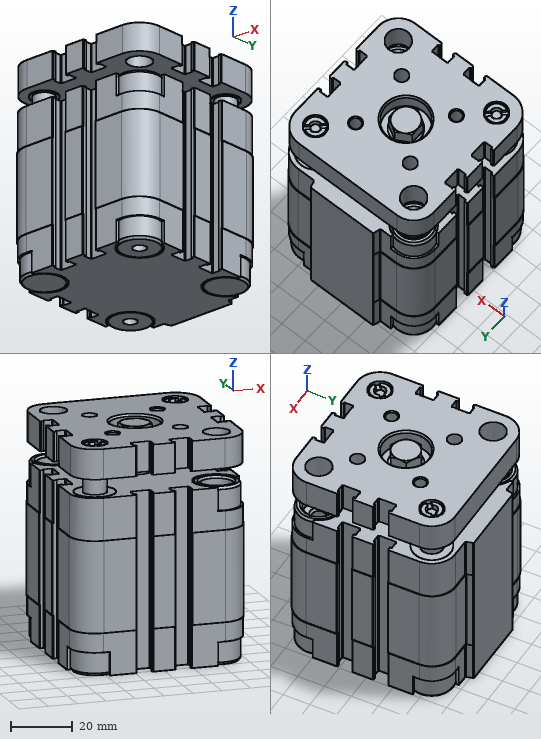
import cadquery as cq
import math

body_width = 60.0
total_depth = 62.5
total_height = 77.0

plate_bottom = 66.75
housing_top = 60.45
upper_seam = 46.0
lower_seam = 14.6
rod_bottom = lower_seam

barrel_half = body_width / 2
cap_inset = 0.2
cap_half = barrel_half - cap_inset
plate_inset = 0.42
plate_half = barrel_half - plate_inset
corner_offset = 21.0

slot_offset = 6.7
slot_mouth_half = 2.7
slot_inner_half = 3.4
slot_lip_level = 28.3
slot_floor_level = 25.0
slot_bevel = 0.3

rail_level = total_depth - barrel_half
rail_top_half = 13.5
rail_base_half = 14.1
rail_bevel = 0.3

collar_diameter = 16.0
collar_height = 8.0
collar_bevel_height = 0.9
collar_bevel_width = 0.7
corner_cut_start = 18.6
corner_cut_clearance = 0.8

screw_bore = 11.0
screw_bore_depth = 4.55
screw_bore_bevel = 0.8
seat_diameter = 6.3
seat_height = 1.0
screw_hole = 4.9

bush_diameter = 14.0
bush_step = 0.1

guide_diameter = 8.0
guide_collar_diameter = 10.1
guide_collar_height = 0.3
guide_hole_diameter = 8.4
guide_pocket_depth = 2.3
guide_end_depth = 0.4
guide_end_bevel = 0.4
driver_slot_width = 1.7
driver_slot_depth = 1.15
driver_slot_angle = 45
center_hole_diameter = 4.15
center_hole_floor = 3.2
center_hole_depth = 1.3

piston_rod_diameter = 12.0
flat_spacing = 10.0
flat_bottom = 62.3

recess_diameter = 17.0
recess_depth = 6.0
recess_bevel_width = 0.55
recess_bevel_height = 0.8
hex_width = 10.0
hex_top_depth = 0.5
hex_bevel_height = 0.5
washer_height = 0.15

access_hole = 9.0
plate_hole_offset = 11.7
dowel_hole = 5.0
thread_hole = 4.15

SCREW_CORNERS = [(-corner_offset, corner_offset), (corner_offset, -corner_offset)]
GUIDE_CORNERS = [(-corner_offset, -corner_offset), (corner_offset, corner_offset)]


def cylinder(x, y, diameter, bottom, top):
    base = cq.Workplane("XY").workplane(offset=bottom).center(x, y)
    return base.circle(diameter / 2).extrude(top - bottom)


def cone(x, y, bottom_diameter, top_diameter, bottom, top):
    solid = cq.Solid.makeCone(bottom_diameter / 2, top_diameter / 2, top - bottom, cq.Vector(x, y, bottom))
    return cq.Workplane(obj=solid)


def square_block(half, bottom, top):
    """Square block whose rounded corners are centred on the corner axes."""
    block = cq.Workplane("XY").workplane(offset=bottom).rect(2 * half, 2 * half).extrude(top - bottom)
    return block.edges("|Z").fillet(half - corner_offset)


def slot_pair(half, bottom, top):
    """Two T-slots opening through the -Y side of a block of the given half width."""
    right_side = [
        (slot_mouth_half + slot_bevel, -half),
        (slot_mouth_half, -half + slot_bevel),
        (slot_mouth_half, -slot_lip_level),
        (slot_inner_half, -slot_lip_level),
        (slot_inner_half, -slot_floor_level - slot_bevel),
        (slot_inner_half - slot_bevel, -slot_floor_level),
    ]
    left_side = [(-x, y) for x, y in reversed(right_side)]
    outline = cq.Workplane("XY").workplane(offset=bottom).polyline(right_side + left_side).close()
    slot = outline.extrude(top - bottom)
    return slot.translate((slot_offset, 0, 0)).union(slot.translate((-slot_offset, 0, 0)))


def slotted_block(half, bottom, top):
    """Square block with T-slots on the -X, -Y and +X sides."""
    block = square_block(half, bottom, top)
    slots = slot_pair(half, bottom, top)
    for angle in (-90, 0, 90):
        block = block.cut(slots.rotate((0, 0, 0), (0, 0, 1), angle))
    return block


def rail(half, bottom, top):
    """Tapered rail on the +Y side, flared at its foot on a block of the given half width."""
    right_side = [
        (rail_base_half + rail_bevel, slot_floor_level),
        (rail_base_half + rail_bevel, half),
        (rail_base_half, half + rail_bevel),
        (rail_top_half, rail_level - rail_bevel),
        (rail_top_half - rail_bevel, rail_level),
    ]
    left_side = [(-x, y) for x, y in reversed(right_side)]
    outline = cq.Workplane("XY").workplane(offset=bottom).polyline(right_side + left_side).close()
    return outline.extrude(top - bottom)


def housing_section(half, bottom, top):
    return slotted_block(half, bottom, top).union(rail(half, bottom, top))


def collar_cut(x, y, end, inward):
    """Cut that frees a corner collar; `inward` is +1 from the bottom end, -1 from the top end."""
    size = barrel_half + corner_cut_clearance - corner_cut_start
    middle = corner_cut_start + size / 2
    box = cq.Workplane("XY").box(size, size, collar_height, centered=(True, True, False))
    box = box.translate((math.copysign(middle, x), math.copysign(middle, y), 0))
    box = box.cut(cylinder(x, y, collar_diameter, 0, collar_height))
    end_diameter = collar_diameter - 2 * collar_bevel_width
    bevel = cylinder(x, y, collar_diameter, 0, collar_bevel_height)
    bevel = bevel.cut(cone(x, y, end_diameter, collar_diameter, 0, collar_bevel_height))
    cut = box.union(bevel)
    if inward < 0:
        cut = cut.mirror("XY")
    return cut.translate((0, 0, end))


def screw_hole_cut(x, y):
    """Through hole with a conical seat and a counterbore that is bevelled at its mouth."""
    floor = housing_top - screw_bore_depth
    cut = cylinder(x, y, screw_hole, 0, housing_top)
    cut = cut.union(cone(x, y, screw_hole, seat_diameter, floor - seat_height, floor))
    cut = cut.union(cylinder(x, y, screw_bore, floor, housing_top))
    mouth = screw_bore + 2 * screw_bore_bevel
    return cut.union(cone(x, y, screw_bore, mouth, housing_top - screw_bore_bevel, housing_top))


def make_housing():
    """Barrel between two slightly smaller end caps, bored for the three rods and two screws."""
    housing = housing_section(cap_half, 0, lower_seam)
    housing = housing.union(housing_section(barrel_half, lower_seam, upper_seam))
    housing = housing.union(housing_section(cap_half, upper_seam, housing_top))
    for x, y in SCREW_CORNERS + GUIDE_CORNERS:
        housing = housing.cut(collar_cut(x, y, 0, 1))
    for x, y in SCREW_CORNERS:
        housing = housing.cut(collar_cut(x, y, housing_top, -1))
        housing = housing.cut(screw_hole_cut(x, y))
    for x, y in GUIDE_CORNERS:
        housing = housing.cut(cylinder(x, y, bush_diameter, housing_top - bush_step, housing_top))
        housing = housing.cut(cylinder(x, y, guide_diameter, rod_bottom, housing_top))
    return housing.cut(cylinder(0, 0, piston_rod_diameter, rod_bottom, housing_top))


def guide_rod(x, y):
    """Guide rod with a bevelled, slotted and centre-drilled upper end."""
    top = total_height - guide_end_depth
    rod = cylinder(x, y, guide_diameter, rod_bottom, top).faces(">Z").chamfer(guide_end_bevel)
    rod = rod.union(cylinder(x, y, guide_collar_diameter, plate_bottom - guide_collar_height, plate_bottom))
    slot = cq.Workplane("XY").box(guide_diameter * 2, driver_slot_width, 2 * driver_slot_depth)
    rod = rod.cut(slot.rotate((0, 0, 0), (0, 0, 1), driver_slot_angle).translate((x, y, top)))
    return rod.cut(cone(x, y, center_hole_floor, center_hole_diameter, top - center_hole_depth, top))


def piston_rod():
    """Piston rod with flats facing -Y and +Y below the plate."""
    rod = cylinder(0, 0, piston_rod_diameter, rod_bottom, plate_bottom)
    flats = cq.Workplane("XY").workplane(offset=flat_bottom).rect(2 * piston_rod_diameter, flat_spacing)
    flats = flats.rect(2 * piston_rod_diameter, 2 * piston_rod_diameter).extrude(plate_bottom - flat_bottom)
    return rod.cut(flats)


def hex_head():
    """Hexagon head with corners at +Y and -Y, turned conical at the top, on its washer face."""
    floor = total_height - recess_depth
    top = total_height - hex_top_depth
    corners = hex_width / math.cos(math.radians(30))
    head = cq.Workplane("XY").workplane(offset=floor).polygon(6, corners).extrude(top - floor)
    head = head.rotate((0, 0, 0), (0, 0, 1), 30)
    envelope = cylinder(0, 0, corners, floor, top - hex_bevel_height)
    envelope = envelope.union(cone(0, 0, corners, hex_width, top - hex_bevel_height, top))
    head = head.intersect(envelope)
    return head.union(cylinder(0, 0, piston_rod_diameter, floor, floor + washer_height))


def cut_recess(plate):
    """Central blind recess with a bevelled mouth."""
    mouth = recess_diameter + 2 * recess_bevel_width
    plate = plate.cut(cylinder(0, 0, recess_diameter, total_height - recess_depth, total_height))
    return plate.cut(cone(0, 0, recess_diameter, mouth, total_height - recess_bevel_height, total_height))


def cut_plate_holes(plate):
    """Access holes over the housing screws, two dowel holes and two bevelled thread holes."""
    for x, y in SCREW_CORNERS:
        plate = plate.cut(cylinder(x, y, access_hole, plate_bottom, total_height))
    bevel = (dowel_hole - thread_hole) / 2
    for p in (-plate_hole_offset, plate_hole_offset):
        plate = plate.cut(cylinder(p, -p, dowel_hole, plate_bottom, total_height))
        plate = plate.cut(cylinder(p, p, thread_hole, plate_bottom, total_height))
        plate = plate.cut(cone(p, p, thread_hole, dowel_hole, total_height - bevel, total_height))
    return plate


def make_yoke():
    """Moving yoke: plate, guide rods, piston rod and its screw head."""
    yoke = slotted_block(plate_half, plate_bottom, total_height)
    yoke = cut_plate_holes(cut_recess(yoke))
    for x, y in GUIDE_CORNERS:
        yoke = yoke.cut(cylinder(x, y, guide_hole_diameter, total_height - guide_pocket_depth, total_height))
        yoke = yoke.union(guide_rod(x, y))
    return yoke.union(piston_rod()).union(hex_head())


housing = make_housing()
yoke = make_yoke()
result = cq.Compound.makeCompound([housing.val(), yoke.val()])